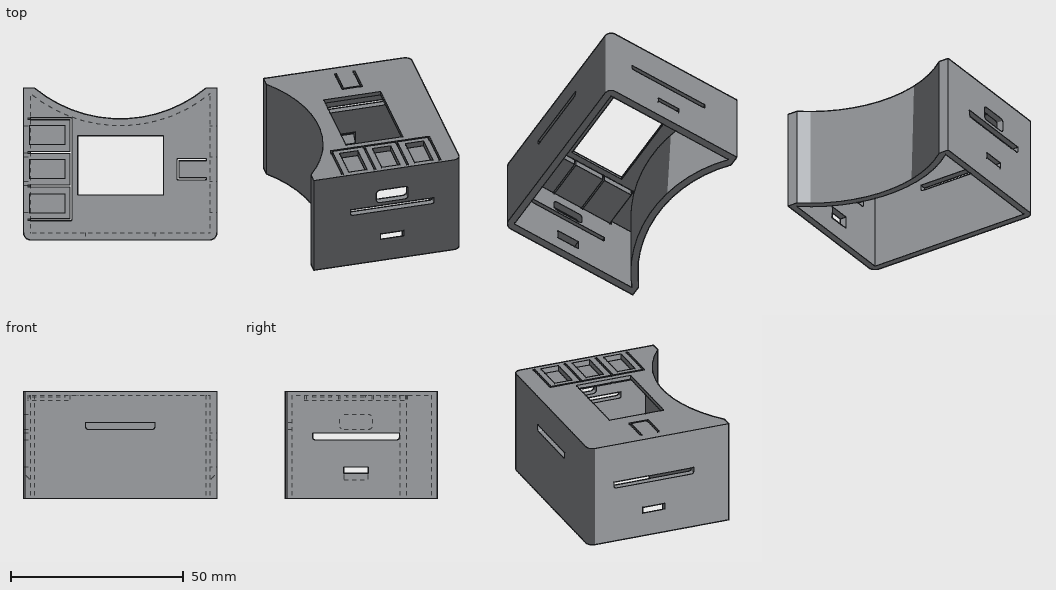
import cadquery as cq

LENGTH = 56.0
DEPTH = 44.0
HEIGHT = 31.0
WALL = 2.0
ROOF = 1.2
CORNER_RADIUS = 2.1

REAR_HALF_CHORD = 24.8
REAR_SAG = 8.9
REAR_RADIUS = (REAR_HALF_CHORD**2 + REAR_SAG**2) / (2 * REAR_SAG)
REAR_CENTRE_Y = DEPTH - REAR_SAG + REAR_RADIUS

WINDOW_X = 0.1
WINDOW_Y = 21.6
WINDOW_LENGTH = 24.75
WINDOW_WIDTH = 17.0

KEY_AXIS_Y = 20.5
SLIT = 0.5

KEY_COUNT = 3
KEY_PITCH = 9.75
KEY_LEFT_X = -26.75
KEY_RIGHT_X = -14.0
KEY_PAD_THICKNESS = 2.7
POCKET_PITCH = 9.85
POCKET_LEFT_X = -26.3
POCKET_LENGTH = 10.3
POCKET_WIDTH = 5.5
POCKET_DEPTH = 1.7

TONGUE_LEFT_X = 16.95
TONGUE_RIGHT_X = 24.9
TONGUE_WIDTH = 5.0
TONGUE_SLIT = 0.55

SLOT_HEIGHT = 1.95
SLOT_RADIUS = 0.7
FRONT_SLOT_LENGTH = 20.0
FRONT_SLOT_Z = 20.0
SIDE_SLOT_LENGTH = 25.05
SIDE_SLOT_Z = 17.0

PORT_LENGTH = 9.5
PORT_HEIGHT = 4.25
PORT_RADIUS = 1.05
PORT_Z = 20.05

LATCH_LENGTH = 7.0
LATCH_HEIGHT = 1.75
LATCH_Z = 7.4


def box(x0, x1, y0, y1, z0, z1):
    """Axis-aligned box between two opposite corners."""
    return cq.Workplane("XY").box(x1 - x0, y1 - y0, z1 - z0, centered=False).translate((x0, y0, z0))


def concave_block(inset, height):
    """Block with its front, sides and concave rear face moved inwards by the inset."""
    half = LENGTH / 2 - inset
    blank = box(-half, half, inset, DEPTH, 0, height)
    cylinder = cq.Workplane("XY").center(0, REAR_CENTRE_Y).circle(REAR_RADIUS + inset).extrude(height)
    return blank.cut(cylinder)


def row_positions(count, pitch):
    """Y positions of an evenly spaced row centred on the key axis."""
    return [KEY_AXIS_Y + (i - (count - 1) / 2) * pitch for i in range(count)]


def key_pads():
    """Thickened key bodies below the roof, rooted in the left wall and separated by the slits."""
    pads = cq.Workplane("XY")
    root_x = -LENGTH / 2 + WALL / 2
    half_width = (KEY_PITCH - SLIT) / 2
    z0 = HEIGHT - KEY_PAD_THICKNESS
    for y in row_positions(KEY_COUNT, KEY_PITCH):
        pads = pads.union(box(root_x, KEY_RIGHT_X - SLIT, y - half_width, y + half_width, z0, HEIGHT))
    return pads


def key_slits():
    """Comb of slits that frees the keys on three sides."""
    z0 = HEIGHT - KEY_PAD_THICKNESS
    half_span = (KEY_COUNT * KEY_PITCH + SLIT) / 2
    y0 = KEY_AXIS_Y - half_span
    y1 = KEY_AXIS_Y + half_span
    slits = box(KEY_RIGHT_X - SLIT, KEY_RIGHT_X, y0, y1, z0, HEIGHT)
    slits = slits.edges("|Z and >X").fillet(SLIT / 2)
    tooth_end_x = KEY_RIGHT_X - SLIT / 2
    for y in row_positions(KEY_COUNT + 1, KEY_PITCH):
        slits = slits.union(box(KEY_LEFT_X, tooth_end_x, y - SLIT / 2, y + SLIT / 2, z0, HEIGHT))
    return slits


def key_pockets():
    """Shallow rectangular recess in the top of each key."""
    pockets = cq.Workplane("XY")
    right_x = POCKET_LEFT_X + POCKET_LENGTH
    half_width = POCKET_WIDTH / 2
    z0 = HEIGHT - POCKET_DEPTH
    for y in row_positions(KEY_COUNT, POCKET_PITCH):
        pockets = pockets.union(box(POCKET_LEFT_X, right_x, y - half_width, y + half_width, z0, HEIGHT))
    return pockets


def tongue_slit():
    """U-shaped slit around the tongue, leaving it attached on the right."""
    half = TONGUE_WIDTH / 2
    outer_half = half + TONGUE_SLIT
    z0 = HEIGHT - ROOF
    y0 = KEY_AXIS_Y - outer_half
    y1 = KEY_AXIS_Y + outer_half
    outer = box(TONGUE_LEFT_X - SLIT, TONGUE_RIGHT_X, y0, y1, z0, HEIGHT).edges("|Z").fillet(SLIT / 2)
    tongue = box(TONGUE_LEFT_X, TONGUE_RIGHT_X, KEY_AXIS_Y - half, KEY_AXIS_Y + half, z0, HEIGHT)
    return outer.cut(tongue)


def window():
    """Rectangular opening through the roof."""
    half_length = WINDOW_LENGTH / 2
    half_width = WINDOW_WIDTH / 2
    return box(
        WINDOW_X - half_length, WINDOW_X + half_length,
        WINDOW_Y - half_width, WINDOW_Y + half_width,
        HEIGHT - ROOF, HEIGHT,
    )


def front_slot():
    """Card slot through the front wall."""
    half_length = FRONT_SLOT_LENGTH / 2
    slot = box(-half_length, half_length, 0, WALL, FRONT_SLOT_Z, FRONT_SLOT_Z + SLOT_HEIGHT)
    return slot.edges("|Y and <Z").fillet(SLOT_RADIUS)


def side_slot():
    """Card slot through both side walls."""
    y0 = KEY_AXIS_Y - SIDE_SLOT_LENGTH / 2
    slot = box(-LENGTH / 2, LENGTH / 2, y0, y0 + SIDE_SLOT_LENGTH, SIDE_SLOT_Z, SIDE_SLOT_Z + SLOT_HEIGHT)
    return slot.edges("|X and <Z").fillet(SLOT_RADIUS)


def port():
    """Rounded connector opening through the left wall."""
    x0 = -LENGTH / 2
    y0 = KEY_AXIS_Y - PORT_LENGTH / 2
    opening = box(x0, x0 + WALL, y0, y0 + PORT_LENGTH, PORT_Z, PORT_Z + PORT_HEIGHT)
    return opening.edges("|X").fillet(PORT_RADIUS)


def latch_slots():
    """Slots through both side walls with floors that drop by the wall thickness towards the inside."""
    outer = LENGTH / 2
    inner = outer - WALL
    top = LATCH_Z + LATCH_HEIGHT
    profile = [
        (-outer, top), (-outer, LATCH_Z), (-inner, LATCH_Z - WALL),
        (inner, LATCH_Z - WALL), (outer, LATCH_Z), (outer, top),
    ]
    slots = cq.Workplane("XZ").polyline(profile).close().extrude(LATCH_LENGTH / 2, both=True)
    return slots.translate((0, KEY_AXIS_Y, 0))


body = concave_block(0, HEIGHT).edges("|Z and <Y").fillet(CORNER_RADIUS)
cavity = concave_block(WALL, HEIGHT - ROOF)
result = body.cut(cavity).union(key_pads())

roof_openings = [key_slits(), key_pockets(), tongue_slit(), window()]
wall_openings = [front_slot(), side_slot(), port(), latch_slots()]
for cutter in roof_openings + wall_openings:
    result = result.cut(cutter)